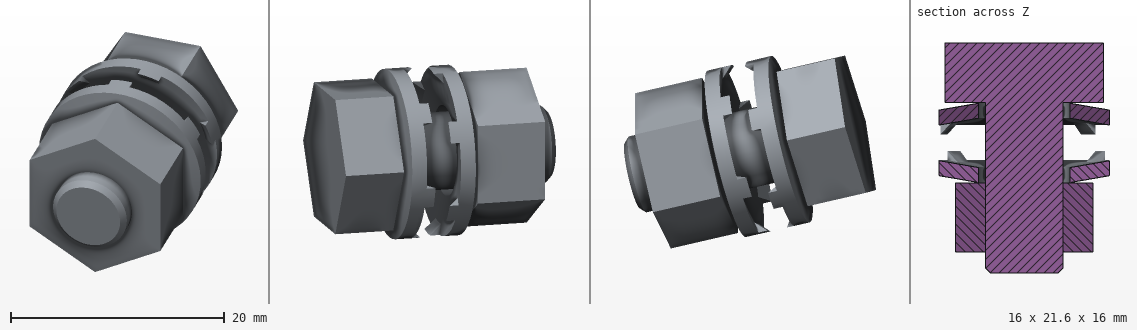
import cadquery as cq
import math

SHANK_RADIUS = 3.65
TIP_CHAMFER = 0.5
HEX_ACROSS_FLATS = 12.92
HEX_ACROSS_CORNERS = HEX_ACROSS_FLATS / math.cos(math.pi / 6)
HEAD_THICKNESS = 5.64
GRIP_LENGTH = 7.47
NUT_THICKNESS = 6.52
TIP_PROTRUSION = 1.97
SHANK_LENGTH = GRIP_LENGTH + NUT_THICKNESS + TIP_PROTRUSION

WASHER_RADIUS = 8.003
WASHER_HOLE_RADIUS = 4.28
WASHER_RIM = 1.45
CONE_RISE = 0.65
CONE_SLOPE = CONE_RISE / (WASHER_RADIUS - WASHER_HOLE_RADIUS)
TOOTH_HEIGHT = 0.86
TOOTH_COUNT = 6
TOOTH_PITCH = 360 / TOOTH_COUNT
TOOTH_ANGLE = 15.0
OVERCUT = 0.43
TOOTH_EDGE_ANGLE = 86.7


def hex_prism(near_y, thickness, corner_angle):
    """Hexagonal prism extending toward -Y, with a corner turned from the X axis."""
    prism = (
        cq.Workplane("XZ")
        .polygon(6, HEX_ACROSS_CORNERS)
        .extrude(thickness)
        .rotate((0, 0, 0), (0, 1, 0), corner_angle)
    )
    return prism.translate((0, near_y, 0))


def make_bolt():
    head = hex_prism(HEAD_THICKNESS, HEAD_THICKNESS, 0)
    shank = (
        cq.Workplane("XZ")
        .circle(SHANK_RADIUS)
        .extrude(SHANK_LENGTH)
        .faces("<Y")
        .chamfer(TIP_CHAMFER)
    )
    return head.union(shank)


def make_nut():
    bore = cq.Workplane("XZ", origin=(0, -GRIP_LENGTH, 0)).circle(SHANK_RADIUS).extrude(NUT_THICKNESS)
    return hex_prism(-GRIP_LENGTH, NUT_THICKNESS, 90).cut(bore)


def revolve_profile(points, angle=360):
    """Turn (radius, y) points about the Y axis, from +X toward +Z."""
    return cq.Workplane("XY").polyline(points).close().revolve(angle, (0, 0, 0), (0, -1, 0))


def turn(shape, angle):
    """Rotate about the Y axis, from +X toward +Z."""
    return shape.rotate((0, 0, 0), (0, -1, 0), angle)


def make_washer(first_tooth_angle):
    """Washer with its cone top at Y = 0 and teeth toward -Y; angles run from +X toward +Z."""
    rim_top = -CONE_RISE
    rim_bottom = rim_top - WASHER_RIM
    tooth_tip = rim_bottom - TOOTH_HEIGHT
    blank = revolve_profile([
        (WASHER_HOLE_RADIUS, 0),
        (WASHER_RADIUS, rim_top),
        (WASHER_RADIUS, tooth_tip),
        (WASHER_HOLE_RADIUS, tooth_tip),
    ])

    inner_radius = WASHER_HOLE_RADIUS - OVERCUT
    outer_radius = WASHER_RADIUS + OVERCUT
    hollow = revolve_profile([
        (inner_radius, rim_bottom + (WASHER_RADIUS - inner_radius) * CONE_SLOPE),
        (outer_radius, rim_bottom - OVERCUT * CONE_SLOPE),
        (outer_radius, tooth_tip - OVERCUT),
        (inner_radius, tooth_tip - OVERCUT),
    ])

    flank_top = rim_top - WASHER_RIM / 2
    tooth = revolve_profile([
        (outer_radius + OVERCUT, tooth_tip - 2 * OVERCUT),
        (outer_radius + OVERCUT, flank_top),
        (WASHER_RADIUS - (flank_top - tooth_tip), flank_top),
    ], TOOTH_ANGLE)
    for index in range(TOOTH_COUNT):
        hollow = hollow.cut(turn(tooth, index * TOOTH_PITCH), clean=False)
    return turn(blank.cut(hollow, clean=False), first_tooth_angle)


def make_washers():
    """One washer under the head and one, facing it, on the nut."""
    head_washer = make_washer(TOOTH_EDGE_ANGLE - TOOTH_ANGLE)
    nut_washer = make_washer(TOOTH_EDGE_ANGLE).mirror("XZ").translate((0, -GRIP_LENGTH, 0))
    return [head_washer, nut_washer]


bolt = make_bolt()
nut = make_nut()
washers = make_washers()

result = cq.Compound.makeCompound([bolt.val(), nut.val(), *[washer.val() for washer in washers]])